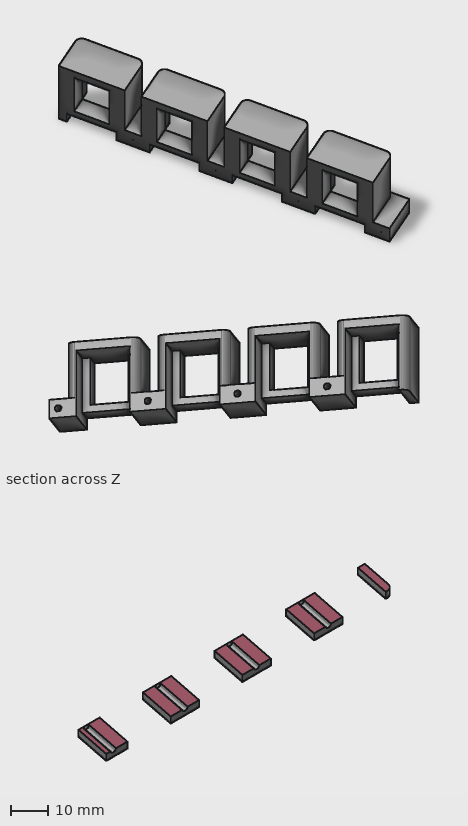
import cadquery as cq
import math

block_count = 4
pitch = 25.0
length = block_count * pitch
depth = 12.0
height = 21.2

block_width = 20.0
rail_top = 5.3
rail_bottom = 3.2
corner_radius = 2.0

underside_width = 15.0

window_width = 10.6
window_top = 18.7
lip_depth = 5.0

hole_diameter = 1.8
pinhole_diameter = 0.02
drill_point_angle = 118.0
hole_offset = 22.5
hole_height = rail_top / 2


def box(x_min, x_max, y_min, y_max, z_min, z_max):
    """Box given by its limits along each axis."""
    size = (x_max - x_min, y_max - y_min, z_max - z_min)
    return cq.Workplane("XY").box(*size, centered=False).translate((x_min, y_min, z_min))


def centred_box(x_centre, width, y_min, y_max, z_min, z_max):
    """Box centred on x_centre along X."""
    half = width / 2
    return box(x_centre - half, x_centre + half, y_min, y_max, z_min, z_max)


def upright_block(x_centre):
    """Solid block above the rail with its two rear vertical edges rounded."""
    block = centred_box(x_centre, block_width, 0, depth, rail_top, height)
    return block.edges("|Z and >Y").fillet(corner_radius)


def window(x_centre):
    """Front opening and the wider cavity behind the lip, open below and at the back."""
    front = centred_box(x_centre, window_width, 0, lip_depth, rail_top, window_top)
    rear = centred_box(x_centre, underside_width, lip_depth, depth, 0, window_top)
    return front.union(rear)


def drilled_hole(x_position):
    """Revolved drill shape running along Y through a foot."""
    radius = hole_diameter / 2
    tip_radius = pinhole_diameter / 2
    tip_length = (radius - tip_radius) / math.tan(math.radians(drill_point_angle / 2))
    profile = (
        cq.Workplane("XY")
        .polyline([(0, 0), (tip_radius, 0), (radius, tip_length), (radius, depth), (0, depth)])
        .close()
    )
    return profile.revolve(360, (0, 0), (0, 1)).translate((x_position, 0, hole_height))


result = box(0, length, 0, depth, 0, rail_top).edges("|Z and <X and >Y").fillet(corner_radius)

for index in range(block_count):
    block_start = index * pitch
    centre = block_start + block_width / 2
    underside = centred_box(centre, underside_width, 0, depth, 0, rail_bottom)
    result = result.union(upright_block(centre)).cut(underside).cut(window(centre))
    result = result.cut(drilled_hole(block_start + hole_offset))